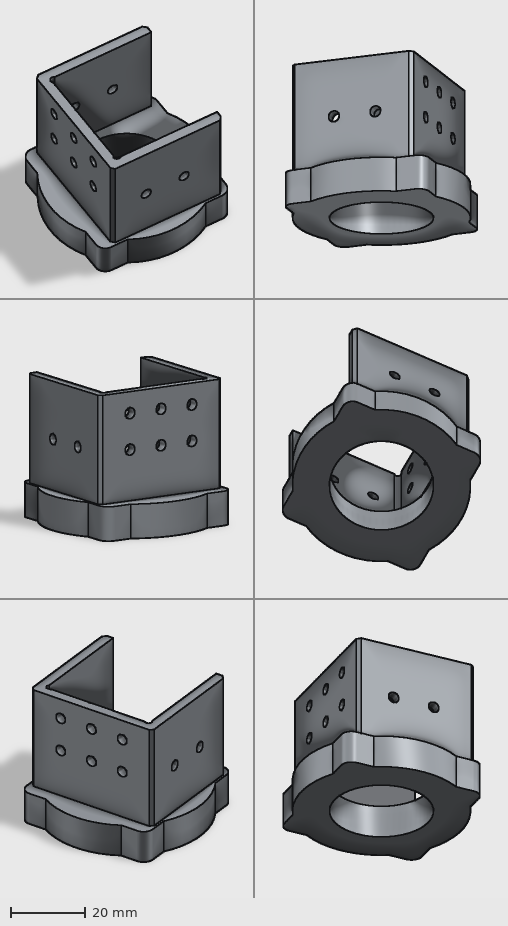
import cadquery as cq
import math

disc_diameter = 47.95
square_side = 41.1
square_corner_radius = 3.0
base_height = 9.5
bore_diameter = 28.0

total_height = 39.5
bracket_width = 39.6
bracket_depth = 35.0
bracket_front_y = -16.75
wall_thickness = 3.0
edge_chamfer = 1.0
relief_radius = 1.0

hole_diameter = 3.0
hole_pitch = 10.0
lower_row_z = 23.55
side_hole_pitch = 12.0

wall_height = total_height - base_height
bracket_center_y = bracket_front_y + bracket_depth / 2
inner_front_y = bracket_front_y + wall_thickness
inner_half_width = bracket_width / 2 - wall_thickness


def make_base():
    disc = cq.Workplane("XY").circle(disc_diameter / 2).extrude(base_height)
    square = (
        cq.Workplane("XY")
        .rect(square_side, square_side)
        .extrude(base_height)
        .edges("|Z")
        .fillet(square_corner_radius)
    )
    bore = cq.Workplane("XY").circle(bore_diameter / 2).extrude(base_height)
    return disc.union(square).cut(bore)


def make_bracket():
    floor = cq.Workplane("XY").workplane(offset=base_height)
    block = (
        floor.center(0, bracket_center_y)
        .rect(bracket_width, bracket_depth)
        .extrude(wall_height)
        .edges("|Z")
        .chamfer(edge_chamfer)
    )
    channel = (
        floor.center(0, inner_front_y + bracket_depth / 2)
        .rect(2 * inner_half_width, bracket_depth)
        .extrude(wall_height)
    )
    relief_offset = relief_radius / math.sqrt(2)
    relief_x = inner_half_width - relief_offset
    relief_y = inner_front_y + relief_offset
    reliefs = (
        floor.pushPoints([(-relief_x, relief_y), (relief_x, relief_y)])
        .circle(relief_radius)
        .extrude(wall_height)
    )
    return block.cut(channel).cut(reliefs)


def make_front_holes():
    """Two rows of three holes through the front wall."""
    points = [
        (column * hole_pitch, lower_row_z + row * hole_pitch)
        for column in (-1, 0, 1)
        for row in (0, 1)
    ]
    return (
        cq.Workplane("XZ", origin=(0, bracket_front_y, 0))
        .pushPoints(points)
        .circle(hole_diameter / 2)
        .extrude(-wall_thickness)
    )


def make_side_holes():
    """A pair of holes passing through both side walls."""
    points = [(side * side_hole_pitch / 2, lower_row_z) for side in (-1, 1)]
    return (
        cq.Workplane("YZ")
        .pushPoints(points)
        .circle(hole_diameter / 2)
        .extrude(bracket_width / 2, both=True)
    )


bracket = make_bracket().cut(make_front_holes()).cut(make_side_holes())
result = make_base().union(bracket)